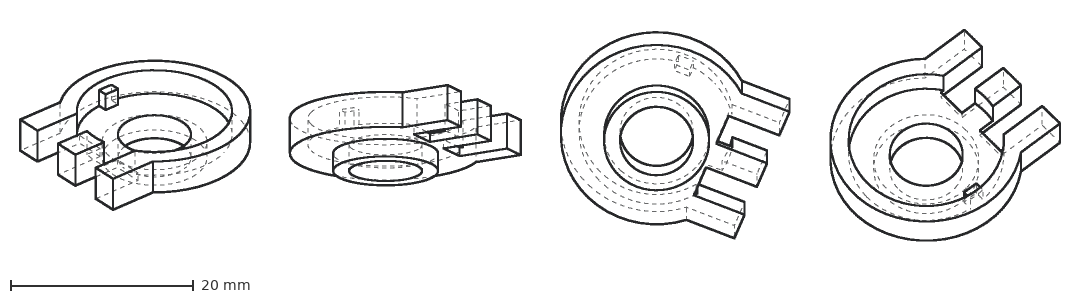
import cadquery as cq

body_diameter = 20.99
body_height = 4.0
total_length = 22.95
pocket_diameter = 17.0
floor_thickness = 0.99
boss_diameter = 11.5
boss_height = 2.0
bore_diameter = 8.0
leg_width = 2.98
leg_span = 15.98
slot_top_y = -6.47
stop_length = 1.17
stop_width = 1.8
stop_height = 2.0

leg_end_y = body_diameter / 2 - total_length
slot_width = (leg_span - 3 * leg_width) / 2
slot_offset = (leg_width + slot_width) / 2
pocket_depth = body_height - floor_thickness


def cylinder(diameter, height, base_z):
    return cq.Workplane("XY").workplane(offset=base_z).circle(diameter / 2).extrude(height)


def block(x_start, y_start, x_size, y_size, height, base_z=0):
    return cq.Workplane("XY").box(x_size, y_size, height, centered=False).translate((x_start, y_start, base_z))


body = cylinder(body_diameter, body_height, 0)
body = body.union(block(-leg_span / 2, leg_end_y, leg_span, -leg_end_y, body_height))

body = body.cut(cylinder(pocket_diameter, pocket_depth, floor_thickness))

for side in (-1, 1):
    slot_start_x = side * slot_offset - slot_width / 2
    body = body.cut(block(slot_start_x, leg_end_y, slot_width, slot_top_y - leg_end_y, body_height))

wall_overlap = (body_diameter - pocket_diameter) / 4
stop_start_x = -pocket_diameter / 2 - wall_overlap
stop = block(stop_start_x, -stop_width / 2, stop_length + wall_overlap, stop_width, stop_height, floor_thickness)
body = body.union(stop)

body = body.union(cylinder(boss_diameter, boss_height, -boss_height))
body = body.cut(cylinder(bore_diameter, boss_height + body_height, -boss_height))

result = body